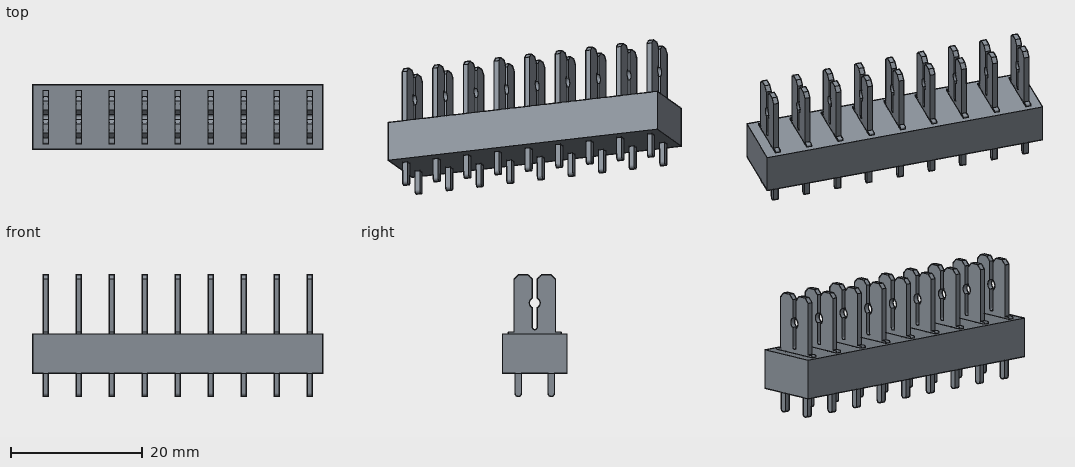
import cadquery as cq

housing_length = 44.0
housing_width = 9.8
housing_height = 6.0

contact_count = 9
contact_pitch = 5.0
contact_thickness = 0.8

blade_height = 9.0
blade_width = 6.3
blade_chamfer = 0.7
slot_width = 0.7
slot_floor = 0.65
eye_height = 4.7
eye_radius = 0.8

shoulder_width = 8.1
shoulder_height = 0.3
shoulder_radius = 0.2

leg_pitch = 5.0
leg_width = 1.0
leg_drop = 3.5

contact_positions = [(i - (contact_count - 1) / 2) * contact_pitch for i in range(contact_count)]
leg_positions = [-leg_pitch / 2, leg_pitch / 2]


def plate(width, bottom, top, y=0.0):
    """Upright plate of contact thickness, centred on X = 0 and on the given Y."""
    height = top - bottom
    return cq.Workplane("XY").box(contact_thickness, width, height).translate((0, y, bottom + height / 2))


def cross_cylinder(radius, z, y=0.0):
    """Cylinder along X, as long as the contact is thick, with its axis at the given Y and Z."""
    return cq.Workplane("YZ", origin=(-contact_thickness / 2, y, z)).circle(radius).extrude(contact_thickness)


def build_prong(side):
    """One half of the fork, with both upper corners cut at 45 degrees."""
    prong_width = (blade_width - slot_width) / 2
    prong_center = side * (slot_width + prong_width) / 2
    prong = plate(prong_width, housing_height, housing_height + blade_height, prong_center)
    return prong.faces(">Z").edges("|X").chamfer(blade_chamfer)


def build_slot_floor():
    """Web joining the prongs, ending in the rounded slot bottom."""
    slot_radius = slot_width / 2
    arc_center = housing_height + slot_floor + slot_radius
    web = plate(slot_width, housing_height, arc_center)
    return web.cut(cross_cylinder(slot_radius, arc_center))


def build_eye():
    """Round opening that widens the slot."""
    return cross_cylinder(eye_radius, housing_height + eye_height)


def build_shoulder():
    shoulder = plate(shoulder_width, housing_height, housing_height + shoulder_height)
    return shoulder.faces(">Z").edges("|X").fillet(shoulder_radius)


def build_leg(y):
    """Straight leg with a fully rounded tip."""
    tip_radius = leg_width / 2
    tip_center = tip_radius - leg_drop
    shank = plate(leg_width, tip_center, housing_height, y)
    return shank.union(cross_cylinder(tip_radius, tip_center, y))


def build_contact():
    contact = build_shoulder().union(build_slot_floor())
    for side in (-1, 1):
        contact = contact.union(build_prong(side))
    contact = contact.cut(build_eye())
    for y in leg_positions:
        contact = contact.union(build_leg(y))
    return contact.solids()


def build_housing():
    """Plain block with a through hole for every leg."""
    leg_centers = [(x, y) for x in contact_positions for y in leg_positions]
    block = cq.Workplane("XY").rect(housing_length, housing_width).extrude(housing_height)
    holes = cq.Workplane("XY").pushPoints(leg_centers).rect(contact_thickness, leg_width).extrude(housing_height)
    return block.cut(holes)


housing = build_housing()
contact = build_contact()
contacts = [contact.val().translate(cq.Vector(x, 0, 0)) for x in contact_positions]

result = cq.Compound.makeCompound([housing.val(), *contacts])